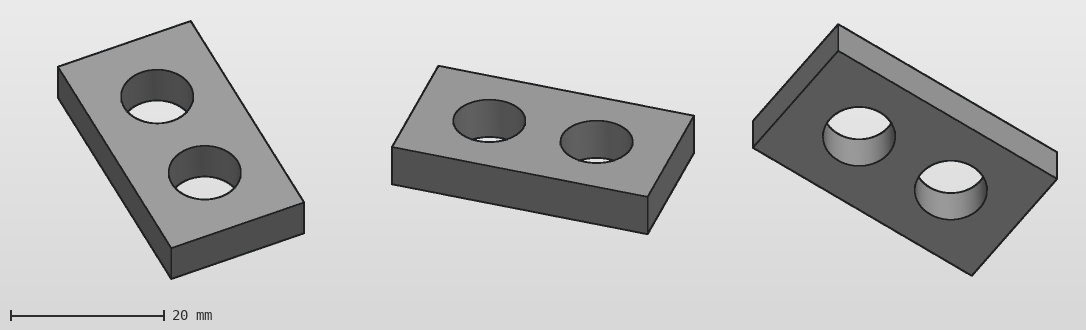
import cadquery as cq

length = 35.05
width = 19.05
thickness = 6.0

hole_diameter = 9.4
hole_spacing = 14.7


def make_plate():
    """Rectangular plate centred on the origin."""
    return cq.Workplane("XY").box(length, width, thickness)


def drill_holes(plate):
    """Cut the pair of round holes through the full thickness."""
    centres = [(-hole_spacing / 2, 0), (hole_spacing / 2, 0)]
    return plate.faces(">Z").workplane().pushPoints(centres).hole(hole_diameter)


result = drill_holes(make_plate())